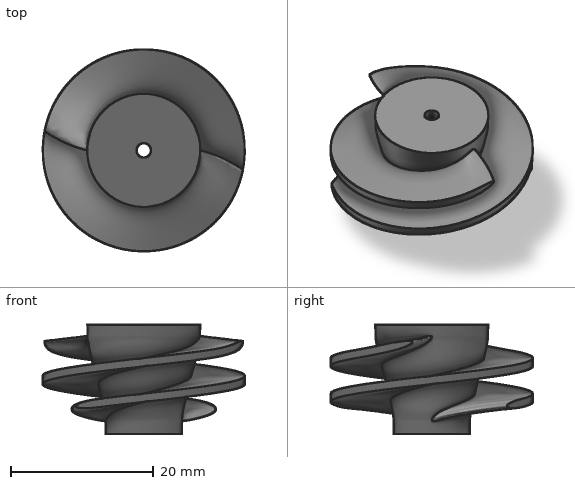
import cadquery as cq
import math

screw_diameter = 28.38
screw_radius = screw_diameter / 2
height = 15.38
bore_diameter = 2.0

bottom_radius = 5.35
top_radius = 7.95
hub_side_points = [(5.45, 2.85), (5.9, 4.97), (6.53, 7.7), (7.25, 10.22), (7.75, 12.63)]

flight_count = 2
lead = 10.0
thickness = 1.15
root_radius = 5.1
overshoot_radius = 14.47
start_angle = 180.0
turn = 360.0
mid_height = 7.6

steep_angle = 50.0
start_drop = 0.62
end_rise = 1.02

nose_angle = 14.0
start_sweep = 48.0
start_sweep_power = 1.4
end_sweep = 11.0

radial_steps = 10
nose_steps = 10
body_steps = 60
surface_tolerance = 0.005
seam_tolerance = 0.03


def start_tip(radius):
    """Angle of the flight's lower tip at a radius."""
    fraction = (radius - root_radius) / (screw_radius - root_radius)
    return start_angle + start_sweep * fraction ** start_sweep_power


def end_tip(radius):
    """Angle of the flight's upper tip at a radius."""
    fraction = (radius - top_radius) / (screw_radius - top_radius)
    return start_angle + turn - end_sweep * fraction


def helix_height(angle):
    """Height of the middle of the flight, with a parabolic departure near each tip."""
    after_start = angle - start_angle
    before_end = turn - after_start
    drop = start_drop * max(0, 1 - after_start / steep_angle) ** 2
    rise = end_rise * max(0, 1 - before_end / steep_angle) ** 2
    return mid_height + lead * (after_start - turn / 2) / 360 + rise - drop


def flight_point(radius, angle, offset):
    """Point at a given height above the middle of the flight."""
    theta = math.radians(angle)
    z = helix_height(angle) + offset
    return cq.Vector(radius * math.cos(theta), radius * math.sin(theta), z)


def nose_point(radius, tip, direction, phi):
    """Point on a half-elliptical nose; direction leads from its tip into the flight."""
    angle = tip + direction * nose_angle * (1 - math.cos(phi))
    return flight_point(radius, angle, thickness / 2 * math.sin(phi))


def body_point(radius, fraction, side):
    """Point on the helical upper (side 1) or lower (side -1) face between the noses."""
    first = start_tip(radius) + nose_angle
    last = end_tip(radius) - nose_angle
    return flight_point(radius, first + fraction * (last - first), side * thickness / 2)


def flight_section(radius):
    """Closed outline of the flight on a cylinder: two noses and two helical edges."""
    phis = [math.pi * (i / (2 * nose_steps) - 0.5) for i in range(2 * nose_steps + 1)]
    fractions = [i / body_steps for i in range(body_steps + 1)]
    return [
        [nose_point(radius, start_tip(radius), 1, phi) for phi in phis],
        [body_point(radius, fraction, 1) for fraction in fractions],
        [nose_point(radius, end_tip(radius), -1, phi) for phi in phis],
        [body_point(radius, fraction, -1) for fraction in fractions],
    ]


def wall_face(lower, upper):
    return cq.Face.makeRuledSurface(cq.Edge.makeSpline(lower), cq.Edge.makeSpline(upper))


def spline_face(rows):
    return cq.Face.makeSplineApprox(rows, tol=surface_tolerance, minDeg=3, maxDeg=6)


def make_flight():
    step = (overshoot_radius - root_radius) / radial_steps
    radii = [root_radius + i * step for i in range(radial_steps + 1)]
    sections = [flight_section(radius) for radius in radii]
    faces = [spline_face(list(rows)) for rows in zip(*sections)]
    for section in (sections[0], sections[-1]):
        start_nose, upper, end_nose, lower = section
        faces.append(wall_face(lower, upper))
        for nose in (start_nose, end_nose):
            under = nose[nose_steps::-1]
            over = nose[nose_steps:]
            faces.append(wall_face(under, over))
    shell = cq.occ_impl.shapes.shell(*faces, tol=seam_tolerance)
    return cq.occ_impl.shapes.solid(shell)


def make_hub():
    return (
        cq.Workplane("XZ")
        .lineTo(bottom_radius, 0)
        .spline(hub_side_points + [(top_radius, height)], tangents=[(0, 1), (0, 1)], includeCurrent=True)
        .lineTo(0, height)
        .close()
        .revolve(360, (0, 0), (0, 1))
    )


envelope = cq.Workplane("XY").circle(screw_radius).extrude(height)
flight = cq.Workplane(obj=make_flight()).intersect(envelope)
result = make_hub()
for index in range(flight_count):
    result = result.union(flight.rotate((0, 0, 0), (0, 0, 1), index * 360 / flight_count))
bore = cq.Workplane("XY").circle(bore_diameter / 2).extrude(height)
result = result.cut(bore)